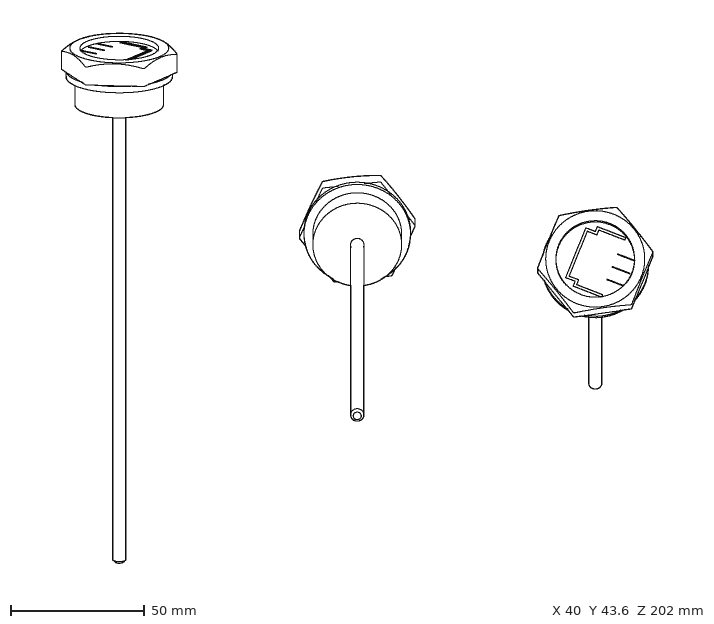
import cadquery as cq
import math

total_length = 202.0
head_height = 8.9
flange_thickness = 2.5
boss_height = 11.0

hexagon_sides = 6
across_flats = 38.0
across_corners = 43.6
chamfer_top_diameter = 37.2
chamfer_angle = 30.0

flange_diameter = 40.0
boss_diameter = 33.3
rod_diameter = 5.0
tip_chamfer = 1.0

recess_diameter = 29.5
recess_depth = 2.0

mark_depth = 0.2
frame_line = 1.0
frame_start_x = -7.5
frame_step_x = 4.0
frame_end_x = 7.9
frame_half_width = 12.3
frame_neck_half_width = 10.3
level_line_count = 3
level_line_width = 0.2
level_line_spacing = 5.3
level_line_start_x = -14.0
level_line_length = 7.0

recess_floor = -recess_depth
flange_top = -head_height
boss_top = flange_top - flange_thickness
rod_top = boss_top - boss_height


def cylinder(diameter, top, height):
    return cq.Workplane("XY", origin=(0, 0, top - height)).circle(diameter / 2).extrude(height)


def head():
    """Hexagon with rounded corners, two of them on the Y axis, chamfered conically on top."""
    flat_to_corner = 1 / math.cos(math.pi / hexagon_sides)
    sharp_corners = across_flats * flat_to_corner
    tip_share = flat_to_corner - 1
    corner_rounding = (sharp_corners - across_corners) / 2 / tip_share
    hexagon = (
        cq.Workplane("XY", origin=(0, 0, flange_top))
        .transformed(rotate=(0, 0, 90))
        .polygon(hexagon_sides, sharp_corners)
        .extrude(head_height)
        .edges("|Z")
        .fillet(corner_rounding)
    )
    blank_radius = sharp_corners / 2
    chamfer_radius = chamfer_top_diameter / 2
    chamfer_drop = (blank_radius - chamfer_radius) * math.tan(math.radians(chamfer_angle))
    chamfered_blank = (
        cq.Workplane("XZ")
        .moveTo(0, 0)
        .lineTo(chamfer_radius, 0)
        .lineTo(blank_radius, -chamfer_drop)
        .lineTo(blank_radius, flange_top)
        .lineTo(0, flange_top)
        .close()
        .revolve(360, (0, 0, 0), (0, 1, 0))
    )
    return hexagon.intersect(chamfered_blank)


def rod():
    length = total_length + rod_top
    return cylinder(rod_diameter, rod_top, length).faces("<Z").chamfer(tip_chamfer)


def stepped_area(inset):
    """Stepped outline, moved inwards by the inset on every side but the open one."""
    step_x = frame_step_x - inset
    end_x = frame_end_x - inset
    half_width = frame_half_width - inset
    neck_half_width = frame_neck_half_width - inset
    return (
        cq.Workplane("XY", origin=(0, 0, recess_floor - mark_depth))
        .moveTo(frame_start_x, -half_width)
        .lineTo(step_x, -half_width)
        .lineTo(step_x, -neck_half_width)
        .lineTo(end_x, -neck_half_width)
        .lineTo(end_x, neck_half_width)
        .lineTo(step_x, neck_half_width)
        .lineTo(step_x, half_width)
        .lineTo(frame_start_x, half_width)
        .close()
        .extrude(mark_depth)
    )


def level_lines():
    center_x = level_line_start_x + level_line_length / 2
    return (
        cq.Workplane("XY", origin=(center_x, 0, recess_floor - mark_depth))
        .rarray(2, level_line_spacing, 1, level_line_count)
        .rect(level_line_length, level_line_width)
        .extrude(mark_depth)
    )


frame = stepped_area(0).cut(stepped_area(frame_line))

result = (
    head()
    .union(cylinder(flange_diameter, flange_top, flange_thickness))
    .union(cylinder(boss_diameter, boss_top, boss_height))
    .union(rod())
    .cut(cylinder(recess_diameter, 0, recess_depth))
    .cut(frame)
    .cut(level_lines())
)